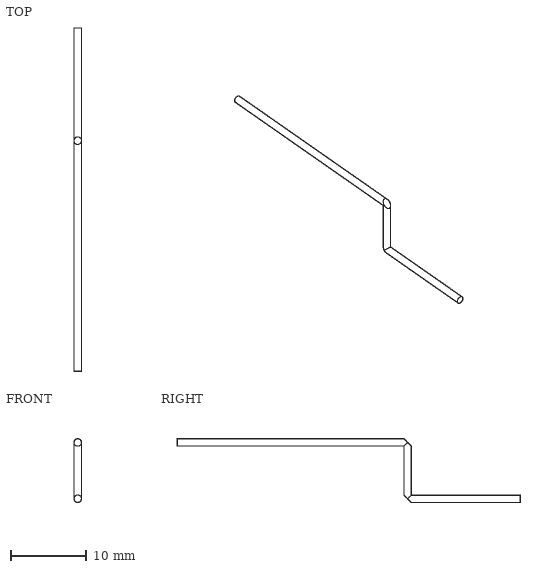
import cadquery as cq

rod_diameter = 1.0
overall_length = 45.67
lower_length = 15.0
overall_height = 8.5

rod_radius = rod_diameter / 2
upper_length = overall_length - lower_length
rise = overall_height - rod_diameter

margin = rod_diameter

UP = cq.Vector(0, 0, 1)
BACK = cq.Vector(0, 1, 0)
FRONT = cq.Vector(0, -1, 0)

lower_bend = cq.Vector(0, 0, 0)
upper_bend = cq.Vector(0, 0, rise)


def rod(start, direction, length):
    """Square-ended round rod with its axis running from start along direction."""
    return cq.Workplane(obj=cq.Solid.makeCylinder(rod_radius, length, start, direction))


def trim_block(start, direction, outline):
    """Prism along X; outline points are (distance along the rod, distance across it)."""
    across = cq.Vector(1, 0, 0).cross(direction)
    points = [start + direction * u + across * v for u, v in outline]
    sketch = cq.Workplane("YZ").polyline([(p.y, p.z) for p in points]).close()
    return sketch.extrude(margin, both=True)


def run(bend, direction, length):
    """Horizontal run: square at the free end, a 90 degree wedge point at the bend centre."""
    outline = [
        (0, 0),
        (margin, margin),
        (length + margin, margin),
        (length + margin, -margin),
        (margin, -margin),
    ]
    blank = rod(bend - direction * margin, direction, length + margin)
    return blank.intersect(trim_block(bend, direction, outline))


def make_riser():
    """Vertical piece with a 90 degree wedge point at both bend centres."""
    outline = [
        (0, 0),
        (margin, margin),
        (rise - margin, margin),
        (rise, 0),
        (rise - margin, -margin),
        (margin, -margin),
    ]
    blank = rod(lower_bend - UP * margin, UP, rise + 2 * margin)
    return blank.intersect(trim_block(lower_bend, UP, outline))


upper_run = run(upper_bend, FRONT, upper_length)
lower_run = run(lower_bend, BACK, lower_length)
result = make_riser().union(upper_run).union(lower_run)